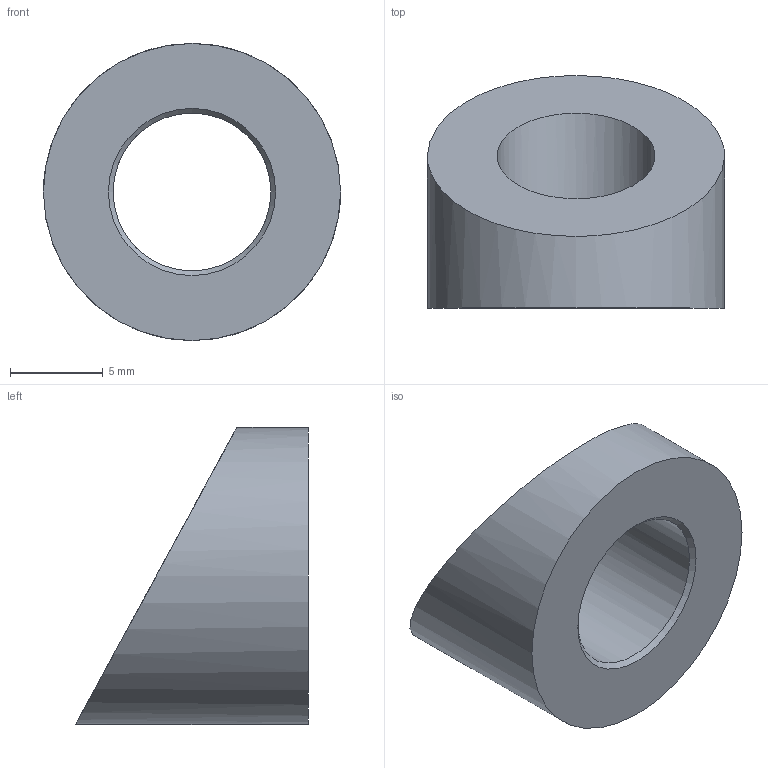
import cadquery as cq
import math

outer_diameter = 16.0
bore_diameter = 8.5
bore_chamfer = 0.25
long_side_length = 12.54
slant_angle = 28.5

outer_radius = outer_diameter / 2
short_side_length = long_side_length - outer_diameter * math.tan(math.radians(slant_angle))


def slanted_cylinder():
    """Cylinder along Y with its flat face at Y = 0 and its far end cut at a slant."""
    cylinder = cq.Workplane("XZ").circle(outer_radius).extrude(-long_side_length)
    side_profile = (
        cq.Workplane("YZ")
        .moveTo(0, -outer_radius)
        .lineTo(long_side_length, -outer_radius)
        .lineTo(short_side_length, outer_radius)
        .lineTo(0, outer_radius)
        .close()
        .extrude(outer_radius, both=True)
    )
    return cylinder.intersect(side_profile)


def chamfered_bore():
    """Cutter for the through bore, with a 45 degree chamfer at the flat face."""
    bore_radius = bore_diameter / 2
    return (
        cq.Workplane("XY")
        .lineTo(bore_radius + bore_chamfer, 0)
        .lineTo(bore_radius, bore_chamfer)
        .lineTo(bore_radius, long_side_length)
        .lineTo(0, long_side_length)
        .close()
        .revolve(360, (0, 0, 0), (0, 1, 0))
    )


result = slanted_cylinder().cut(chamfered_bore())